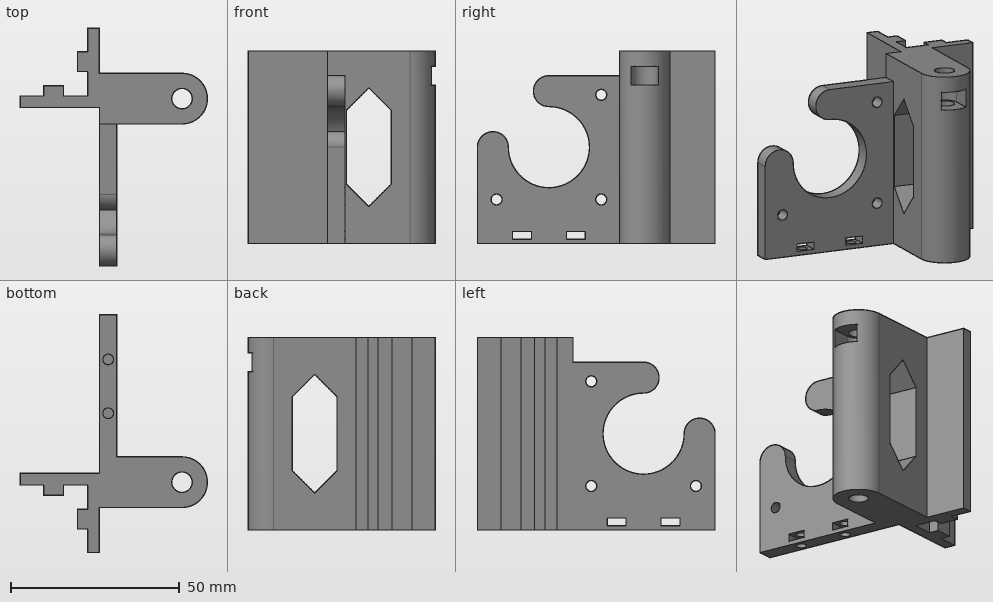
import cadquery as cq

height = 57.0
mid_height = height / 2
total_depth = 70.4

arm_length = 23.5
arm_thickness = 3.5
rib_width = 5.9
rib_height = 3.0
rib_start = 10.6

lug_radius = 7.5
lug_axis_x = 55.5 - arm_length - lug_radius
lug_axis_y = 2.7
lug_width = 2 * lug_radius
pin_diameter = 6.0

pocket_diameter = 8.0
pocket_bottom = 46.9
pocket_height = 5.5

window_center_x = 12.25
window_half_width = 6.6
window_half_straight = 10.9
window_half_height = window_half_straight + window_half_width

plate_thickness = 5.15
plate_tip_y = arm_length - total_depth
bore_radius = 12.0
bore_y = -25.7
finger_width = bore_y - bore_radius - plate_tip_y
finger_radius = finger_width / 2
plate_top = mid_height + bore_radius + finger_width
screw_diameter = 3.2
screw_spacing = 31.0
slot_length = 5.5
slot_height = 2.25
slot_bottom = 1.3
slot_spacing = 15.9
foot_screw_depth = 8.6


def block(x, y, z, length, depth, tall):
    """Box given by its lowest corner and its sizes."""
    return cq.Workplane("XY").box(length, depth, tall, centered=False).translate((x, y, z))


def upright_cylinder(diameter, bottom, tall):
    """Cylinder on the hinge axis."""
    plane = cq.Workplane("XY", origin=(lug_axis_x, lug_axis_y, bottom))
    return plane.circle(diameter / 2).extrude(tall)


def angle_bracket():
    rib_overlap = rib_height + arm_thickness
    arm_x = block(-arm_length, 0, 0, arm_length, arm_thickness, height)
    arm_y = block(-arm_thickness, 0, 0, arm_thickness, arm_length, height)
    rib_x = block(-rib_start - rib_width, 0, 0, rib_width, rib_overlap, height)
    rib_y = block(-rib_overlap, rib_start, 0, rib_overlap, rib_width, height)
    return arm_x.union(arm_y).union(rib_x).union(rib_y)


def hinge_lug():
    web = block(0, lug_axis_y - lug_radius, 0, lug_axis_x, lug_width, height)
    return web.union(upright_cylinder(lug_width, 0, height))


def hinge_pocket():
    mouth = block(
        lug_axis_x, lug_axis_y - pocket_diameter / 2, pocket_bottom,
        lug_width, pocket_diameter, pocket_height,
    )
    return mouth.union(upright_cylinder(pocket_diameter, pocket_bottom, pocket_height))


def lug_window():
    left = window_center_x - window_half_width
    right = window_center_x + window_half_width
    low = mid_height - window_half_straight
    high = mid_height + window_half_straight
    outline = [
        (left, low),
        (window_center_x, mid_height - window_half_height),
        (right, low),
        (right, high),
        (window_center_x, mid_height + window_half_height),
        (left, high),
    ]
    plane = cq.Workplane("XZ", origin=(0, lug_axis_y, 0))
    return plane.polyline(outline).close().extrude(lug_width, both=True)


def hook_plate():
    """Plate around a three-quarter bore, with both fingers rounded at their ends."""
    bore_top = mid_height + bore_radius
    bore_front = bore_y - bore_radius
    half_diagonal = bore_radius / 2 ** 0.5
    return (
        cq.Workplane("YZ")
        .moveTo(0, 0)
        .lineTo(0, plate_top)
        .lineTo(bore_y, plate_top)
        .threePointArc((bore_y - finger_radius, bore_top + finger_radius), (bore_y, bore_top))
        .threePointArc(
            (bore_y + half_diagonal, mid_height - half_diagonal),
            (bore_front, mid_height),
        )
        .threePointArc(
            (bore_front - finger_radius, mid_height + finger_radius),
            (plate_tip_y, mid_height),
        )
        .lineTo(plate_tip_y, 0)
        .close()
        .extrude(plate_thickness)
    )


def screw_holes():
    """Three corners of a square pattern centred on the bore."""
    offset = screw_spacing / 2
    corners = [(offset, offset), (offset, -offset), (-offset, -offset)]
    plane = cq.Workplane("YZ", origin=(0, bore_y, mid_height))
    return plane.pushPoints(corners).circle(screw_diameter / 2).extrude(plate_thickness)


def nut_slots():
    centers = [(-slot_spacing / 2, 0), (slot_spacing / 2, 0)]
    plane = cq.Workplane("YZ", origin=(0, bore_y, slot_bottom + slot_height / 2))
    return plane.pushPoints(centers).rect(slot_length, slot_height).extrude(plate_thickness)


def foot_screw_holes():
    """Blind holes rising from the foot of the plate through the middle of each nut slot."""
    centers = [(0, -slot_spacing / 2), (0, slot_spacing / 2)]
    plane = cq.Workplane("XY", origin=(plate_thickness / 2, bore_y, 0))
    return plane.pushPoints(centers).circle(screw_diameter / 2).extrude(foot_screw_depth)


result = (
    angle_bracket()
    .union(hinge_lug())
    .union(hook_plate())
    .cut(upright_cylinder(pin_diameter, 0, height))
    .cut(hinge_pocket())
    .cut(lug_window())
    .cut(screw_holes())
    .cut(nut_slots())
    .cut(foot_screw_holes())
)